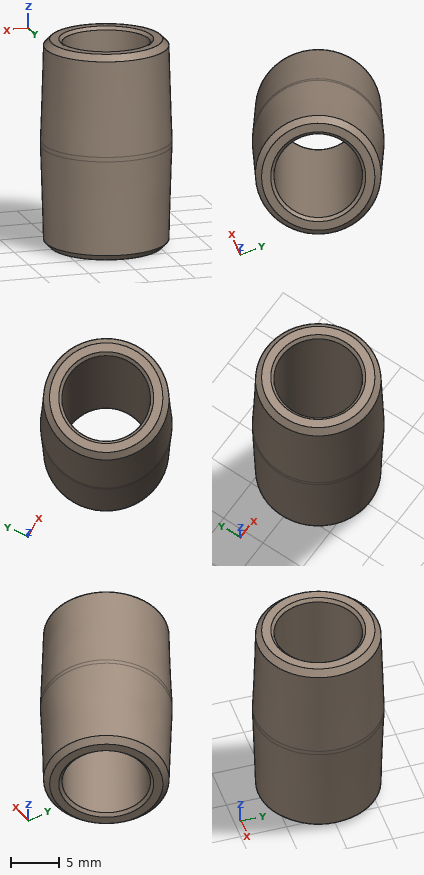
import cadquery as cq

length = 22.23
band_diameter = 13.72
band_height = 0.5
end_diameter = 13.07
end_chamfer = 0.65
bore_diameter = 9.2
bore_chamfer = 0.33

half_length = length / 2
half_band = band_height / 2
band_radius = band_diameter / 2
end_radius = end_diameter / 2
bore_radius = bore_diameter / 2
mouth_radius = bore_radius + bore_chamfer

upper_section = [
    (bore_radius, half_length - bore_chamfer),
    (mouth_radius, half_length),
    (end_radius - end_chamfer, half_length),
    (end_radius, half_length - end_chamfer),
    (band_radius, half_band),
]
lower_section = [(radius, -height) for radius, height in reversed(upper_section)]

result = (
    cq.Workplane("XZ", origin=(0, 0, half_length))
    .polyline(upper_section + lower_section)
    .close()
    .revolve(360, (0, 0, 0), (0, 1, 0))
)